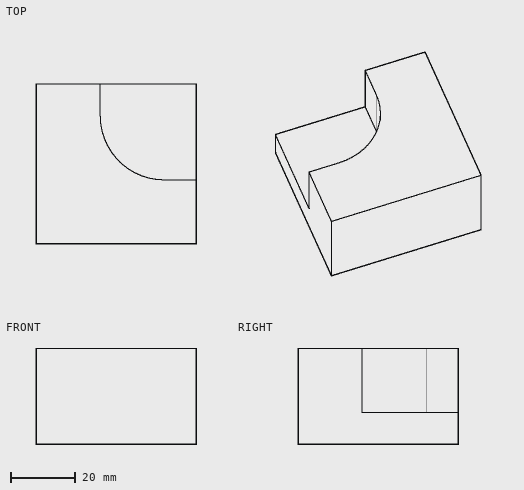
import cadquery as cq

side = 50.0
height = 30.0

wall_thickness = 20.0
floor_thickness = 10.0
inner_corner_radius = 20.0

recess_side = side - wall_thickness
recess_depth = height - floor_thickness


def make_block():
    """Square block with one bottom corner at the origin."""
    return cq.Workplane("XY").box(side, side, height, centered=False)


def make_recess():
    """Volume removed from the +X +Y corner, rounded where the two walls meet."""
    return (
        cq.Workplane("XY")
        .box(recess_side, recess_side, recess_depth, centered=False)
        .edges("|Z and <X and <Y")
        .fillet(inner_corner_radius)
        .translate((wall_thickness, wall_thickness, floor_thickness))
    )


result = make_block().cut(make_recess())